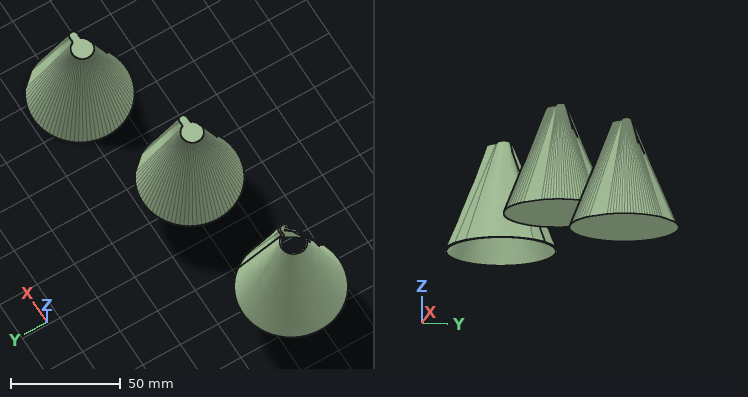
import cadquery as cq
import math

height = 50.0
base_radius = 25.0
shell_wall = 1.0

bore_radius = 5.35
slot_half_width = 2.1
keyhole_length = 15.2
bore_center_x = bore_radius - keyhole_length / 2
tip_x = keyhole_length / 2

tip_angle = 31.0
neck_angle = 53.0
shell_twist = -15.0

bore_facets = 54
tip_facets = 20

shell_place = (0.0, 0.0, 0.0)
upper_core_place = (71.5, 10.6, 0.0)
lower_core_place = (144.38, 24.85, -24.93)


def polar(center_x, radius, angle):
    """Point at an angle in degrees on a circle centred on the X axis."""
    turn = math.radians(angle)
    return (center_x + radius * math.cos(turn), radius * math.sin(turn))


def arc_points(center, radius, start, end, facets):
    """Evenly spaced points along an arc, both ends included."""
    points = []
    for i in range(facets + 1):
        x, y = polar(center[0], radius, start + (end - start) * i / facets)
        points.append((x, center[1] + y))
    return points


def neck_half_angle(growth):
    """Angle at the bore centre where the slot side meets the bore."""
    return math.degrees(math.asin((slot_half_width + growth) / (bore_radius + growth)))


def core_body(place):
    """Faceted solid that changes from a keyhole at the top to a circle at the base."""
    neck = neck_half_angle(0)
    tip_center = (tip_x - slot_half_width, 0)
    top = arc_points((bore_center_x, 0), bore_radius, neck, 360 - neck, bore_facets)
    top += arc_points(tip_center, slot_half_width, -90, 90, tip_facets)

    axis = (0, 0)
    base = arc_points(axis, base_radius, neck_angle, 360 - neck_angle, bore_facets)
    base += arc_points(axis, base_radius, -tip_angle, tip_angle, tip_facets)

    base_wire = cq.Wire.makePolygon([cq.Vector(x, y, 0) for x, y in base], close=True)
    top_wire = cq.Wire.makePolygon([cq.Vector(x, y, height) for x, y in top], close=True)
    return cq.Workplane(cq.Solid.makeLoft([base_wire, top_wire], True)).translate(place)


def shell_loft(growth):
    """Smooth solid from the base circle to the keyhole, both grown outward by an even amount."""
    bore = bore_radius + growth
    half_width = slot_half_width + growth
    tip = tip_x + growth
    tip_start_x = tip - half_width
    neck_x, neck_y = polar(bore_center_x, bore, neck_half_angle(growth))
    keyhole = (
        cq.Workplane("XY", origin=(0, 0, height))
        .moveTo(neck_x, neck_y)
        .threePointArc((bore_center_x - bore, 0), (neck_x, -neck_y))
        .lineTo(tip_start_x, -half_width)
        .threePointArc((tip, 0), (tip_start_x, half_width))
        .close()
        .val()
    )

    side_length = tip_start_x - neck_x
    tip_length = math.pi * half_width
    smooth_tip_angle = neck_angle * tip_length / (tip_length + 2 * side_length)
    stops = [
        neck_angle,
        360 - neck_angle,
        360 - smooth_tip_angle,
        360 + smooth_tip_angle,
        360 + neck_angle,
    ]
    radius = base_radius + growth
    base = cq.Workplane("XY").moveTo(*polar(0, radius, stops[0] + shell_twist))
    for start, end in zip(stops, stops[1:]):
        middle = (start + end) / 2
        base = base.threePointArc(
            polar(0, radius, middle + shell_twist),
            polar(0, radius, end + shell_twist),
        )
    return cq.Workplane(cq.Solid.makeLoft([base.wire().val(), keyhole], True))


def shell_body(place):
    """Thin smooth cone around a cavity of the same form, open at both ends."""
    return shell_loft(shell_wall).cut(shell_loft(0)).translate(place)


shell = shell_body(shell_place)
cores = [core_body(place) for place in (upper_core_place, lower_core_place)]

result = cq.Compound.makeCompound([shell.val(), *[core.val() for core in cores]])